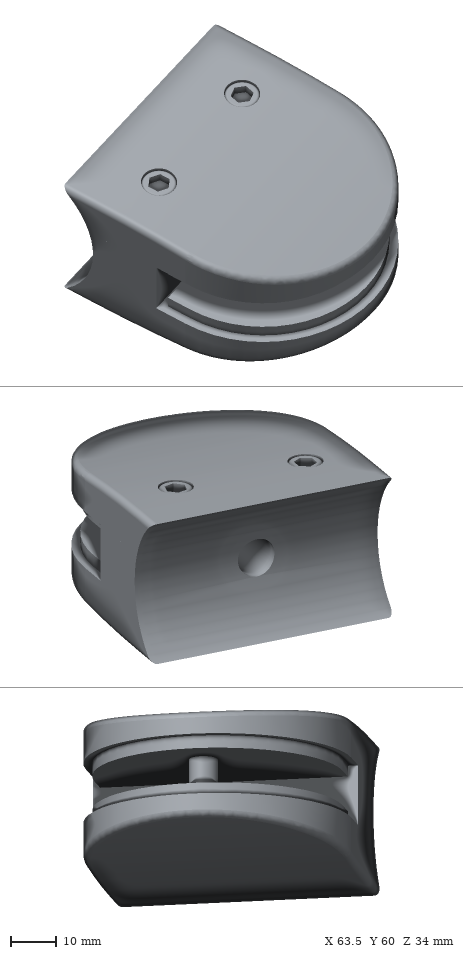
import cadquery as cq
import math

LENGTH = 63.5
WIDTH = 60.0
HEIGHT = 34.0
NOSE_RADIUS = WIDTH / 2
NOSE_CENTRE_X = LENGTH - NOSE_RADIUS
EDGE_RADIUS = 1.5

TUBE_RADIUS = 21.2
CROWN_RADIUS = 292.25
TUBE_CENTRE_X = -math.sqrt(TUBE_RADIUS**2 - (HEIGHT / 2) ** 2)
SADDLE_DEPTH = TUBE_CENTRE_X + TUBE_RADIUS

SLOT_START_X = 25.65
SLOT_HEIGHT = 13.6
FIXING_HOLE_DIAMETER = 9.0

GLASS_GAP = 7.9
PAD_START_X = 27.45
PAD_INSET = 2.0
PIN_DIAMETER = 6.5
PIN_EDGE_RADIUS = 0.2
PIN_X = 50.5

SCREW_X = 16.7
SCREW_SPACING = 32.0
SCREW_HEAD_DIAMETER = 8.0
SCREW_HEAD_EDGE_RADIUS = 0.7
SCREW_OFFSET_Y = -0.2
SCREW_TOP_Z = 16.6
SOCKET_CORNER_DIAMETER = 5.2
SOCKET_DEPTH = 2.05
SCREW_FLOOR_Z = SCREW_TOP_Z - SCREW_HEAD_EDGE_RADIUS - SOCKET_DEPTH
SCREWS = [(1, 46.0), (-1, 0.0)]


def d_shape(start_x, radius, bottom_z, height):
    """Plate with a straight back edge and a half-round nose, flat on both faces."""
    return (
        cq.Workplane("XY", origin=(0, 0, bottom_z))
        .moveTo(start_x, -radius)
        .lineTo(NOSE_CENTRE_X, -radius)
        .threePointArc((NOSE_CENTRE_X + radius, 0), (NOSE_CENTRE_X, radius))
        .lineTo(start_x, radius)
        .close()
        .extrude(height)
    )


def crown_z(x):
    """Height of the curved top face beyond the end of its flat strip."""
    return HEIGHT / 2 - CROWN_RADIUS + math.sqrt(CROWN_RADIUS**2 - (x - SADDLE_DEPTH) ** 2)


def crowned_block():
    """Side outline with flat strips that run into gently curved outer faces."""
    half = HEIGHT / 2
    middle_x = (SADDLE_DEPTH + LENGTH) / 2
    return (
        cq.Workplane("XZ")
        .moveTo(0, -half)
        .lineTo(SADDLE_DEPTH, -half)
        .threePointArc((middle_x, -crown_z(middle_x)), (LENGTH, -crown_z(LENGTH)))
        .lineTo(LENGTH, crown_z(LENGTH))
        .threePointArc((middle_x, crown_z(middle_x)), (SADDLE_DEPTH, half))
        .lineTo(0, half)
        .close()
        .extrude(NOSE_RADIUS, both=True)
    )


def clamp_shell():
    """Whole clamp before it is divided: rounded edges, tube saddle, glass slot, fixing hole."""
    shell = crowned_block().intersect(d_shape(0, NOSE_RADIUS, -HEIGHT / 2, HEIGHT))
    shell = shell.faces("<Y").edges("not |Z").fillet(EDGE_RADIUS)
    saddle = (
        cq.Workplane("XZ").center(TUBE_CENTRE_X, 0).circle(TUBE_RADIUS).extrude(WIDTH, both=True)
    )
    slot = cq.Workplane("XY").box(LENGTH, 2 * WIDTH, SLOT_HEIGHT, centered=(False, True, True))
    slot = slot.translate((SLOT_START_X, 0, 0))
    fixing_hole = cq.Workplane("YZ").circle(FIXING_HOLE_DIAMETER / 2).extrude(SLOT_START_X)
    return shell.cut(saddle).cut(slot).cut(fixing_hole)


def upper_space():
    """Block of space above the joint between the base and the cover."""
    space = cq.Workplane("XY").box(2 * LENGTH, 2 * WIDTH, HEIGHT, centered=(True, True, False))
    return space.translate((0, 0, SLOT_HEIGHT / 2))


def glass_pad(bottom_z):
    """Raised pad on the inner face of a jaw, set in from the jaw outline."""
    thickness = (SLOT_HEIGHT - GLASS_GAP) / 2
    return d_shape(PAD_START_X, NOSE_RADIUS - PAD_INSET, bottom_z, thickness)


def make_base(shell):
    """Lower jaw with the back wall of the slot and its raised pad."""
    return shell.cut(upper_space()).union(glass_pad(-SLOT_HEIGHT / 2))


def screw_y(side):
    """Y place of the screw on the given side of the clamp."""
    return SCREW_OFFSET_Y + side * SCREW_SPACING / 2


def screw_head(side, angle):
    """Rounded socket head, sunk just below the top face."""
    head = (
        cq.Workplane("XY", origin=(SCREW_X, screw_y(side), SCREW_FLOOR_Z))
        .circle(SCREW_HEAD_DIAMETER / 2)
        .extrude(SCREW_TOP_Z - SCREW_FLOOR_Z)
        .faces(">Z")
        .edges()
        .fillet(SCREW_HEAD_EDGE_RADIUS)
    )
    socket = (
        cq.Workplane("XY")
        .polygon(6, SOCKET_CORNER_DIAMETER)
        .extrude(SOCKET_DEPTH)
        .rotate((0, 0, 0), (0, 0, 1), angle)
        .translate((SCREW_X, screw_y(side), SCREW_TOP_Z - SOCKET_DEPTH))
    )
    return head.cut(socket)


def make_cover(shell):
    """Upper jaw with its raised pad and the two screw heads formed in it."""
    cover = shell.intersect(upper_space()).union(glass_pad(GLASS_GAP / 2))
    for side, angle in SCREWS:
        recess = (
            cq.Workplane("XY", origin=(SCREW_X, screw_y(side), SCREW_FLOOR_Z))
            .circle(SCREW_HEAD_DIAMETER / 2)
            .extrude(HEIGHT)
        )
        cover = cover.cut(recess).union(screw_head(side, angle))
    return cover


def make_pin():
    """Safety pin that passes through the glass and stands between the two pads."""
    pin = cq.Workplane("XY", origin=(PIN_X, 0, -GLASS_GAP / 2)).circle(PIN_DIAMETER / 2).extrude(GLASS_GAP)
    return pin.edges("%CIRCLE").fillet(PIN_EDGE_RADIUS)


clamp = clamp_shell()
base = make_base(clamp)
cover = make_cover(clamp)
pin = make_pin()

result = cq.Compound.makeCompound([base.val(), cover.val(), pin.val()])